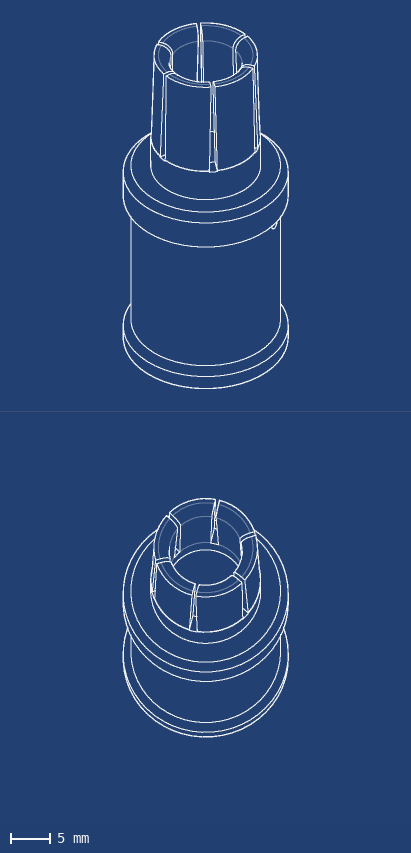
import cadquery as cq
import math

total_height = 45.8
flange_radius = 20.95 / 2
body_radius = 19.0 / 2
chamfer = flange_radius - body_radius

base_rim_height = 1.95
flange_bottom = 23.0
flange_top = 27.9
finger_base = 32.45

collar_radius = 13.95 / 2
finger_base_radius = 13.87 / 2
bore_radius = 10.0 / 2
finger_lean = 0.35
lip_radius = 1.37
drill_depth_below_fingers = 3.0
drill_point_angle = 118.0

finger_count = 6
slot_base_width = 1.0
slot_tip_width = 0.5
slot_floor = finger_base - 0.15

side_hole_diameter = 2.0
side_hole_depth = 2.0
side_hole_height = 21.65


def outer_body():
    return (
        cq.Workplane("XZ")
        .lineTo(flange_radius, 0)
        .lineTo(flange_radius, base_rim_height)
        .lineTo(body_radius, base_rim_height + chamfer)
        .lineTo(body_radius, flange_bottom)
        .lineTo(flange_radius, flange_bottom)
        .lineTo(flange_radius, flange_top - chamfer)
        .lineTo(body_radius, flange_top)
        .lineTo(collar_radius, flange_top)
        .lineTo(collar_radius, finger_base)
        .lineTo(finger_base_radius, finger_base)
        .lineTo(finger_base_radius - finger_lean, total_height)
        .lineTo(0, total_height)
        .close()
        .revolve(360, (0, 0, 0), (0, 1, 0))
    )


def socket_bore():
    """Conical-ended bore that narrows with the fingers and opens over a rounded lip."""
    bore_end = finger_base - drill_depth_below_fingers
    point_depth = bore_radius / math.tan(math.radians(drill_point_angle / 2))
    throat_radius = bore_radius - finger_lean
    lip_bottom = total_height - lip_radius
    lip_diagonal = lip_radius * math.sqrt(0.5)
    lip_centre_radius = throat_radius + lip_radius
    return (
        cq.Workplane("XZ")
        .moveTo(0, bore_end - point_depth)
        .lineTo(bore_radius, bore_end)
        .lineTo(bore_radius, finger_base)
        .lineTo(throat_radius, lip_bottom)
        .threePointArc(
            (lip_centre_radius - lip_diagonal, lip_bottom + lip_diagonal),
            (lip_centre_radius, total_height),
        )
        .lineTo(0, total_height)
        .close()
        .revolve(360, (0, 0, 0), (0, 1, 0))
    )


def finger_slot(angle):
    """Radial slot, wider at its floor than at the finger tips."""
    return (
        cq.Workplane("YZ")
        .moveTo(-slot_base_width / 2, slot_floor)
        .lineTo(slot_base_width / 2, slot_floor)
        .lineTo(slot_tip_width / 2, total_height)
        .lineTo(-slot_tip_width / 2, total_height)
        .close()
        .extrude(flange_radius)
        .rotate((0, 0, 0), (0, 0, 1), angle)
    )


def side_hole():
    return (
        cq.Workplane("YZ", origin=(body_radius - side_hole_depth, 0, 0))
        .center(0, side_hole_height)
        .circle(side_hole_diameter / 2)
        .extrude(side_hole_depth)
    )


result = outer_body().cut(socket_bore()).cut(side_hole())
for index in range(finger_count):
    result = result.cut(finger_slot(index * 360 / finger_count))